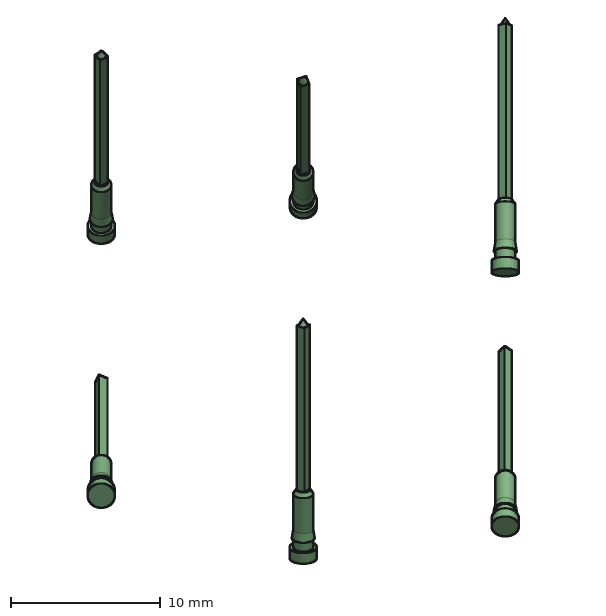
import cadquery as cq

TOTAL_HEIGHT = 17.78

FLANGE_DIAMETER = 1.83
FLANGE_HEIGHT = 0.8
SLEEVE_DIAMETER = 1.35
SLEEVE_HEIGHT = 5.09
SLEEVE_TOP_DIAMETER = 0.92
SHOULDER_HEIGHT = 0.32
BARB_DIAMETER = 1.55
BARB_BOTTOM = 1.5
BARB_HEIGHT = 0.64

PIN_WIDTH = 0.64
POINT_HEIGHT = 0.5


def make_sleeve():
    """Flange, retaining barb and tapered shoulder, revolved about Z."""
    flange_radius = FLANGE_DIAMETER / 2
    sleeve_radius = SLEEVE_DIAMETER / 2
    barb_radius = BARB_DIAMETER / 2
    top_radius = SLEEVE_TOP_DIAMETER / 2
    half_profile = (
        cq.Workplane("XZ")
        .moveTo(0, 0)
        .lineTo(flange_radius, 0)
        .lineTo(flange_radius, FLANGE_HEIGHT)
        .lineTo(sleeve_radius, FLANGE_HEIGHT)
        .lineTo(sleeve_radius, BARB_BOTTOM)
        .lineTo(barb_radius, BARB_BOTTOM)
        .lineTo(sleeve_radius, BARB_BOTTOM + BARB_HEIGHT)
        .lineTo(sleeve_radius, SLEEVE_HEIGHT - SHOULDER_HEIGHT)
        .lineTo(top_radius, SLEEVE_HEIGHT)
        .lineTo(0, SLEEVE_HEIGHT)
        .close()
    )
    return half_profile.revolve(360, (0, 0, 0), (0, 1, 0))


def make_pin():
    """Square bar with a cone whose base touches the four sides of the bar."""
    point_base = TOTAL_HEIGHT - POINT_HEIGHT
    bar = (
        cq.Workplane("XY", origin=(0, 0, SLEEVE_HEIGHT))
        .rect(PIN_WIDTH, PIN_WIDTH)
        .extrude(point_base - SLEEVE_HEIGHT)
    )
    point = cq.Solid.makeCone(PIN_WIDTH / 2, 0, POINT_HEIGHT, cq.Vector(0, 0, point_base))
    return bar.union(cq.Workplane(obj=point))


sleeve = make_sleeve()
pin = make_pin()

result = cq.Compound.makeCompound([sleeve.val(), *pin.solids().vals()])